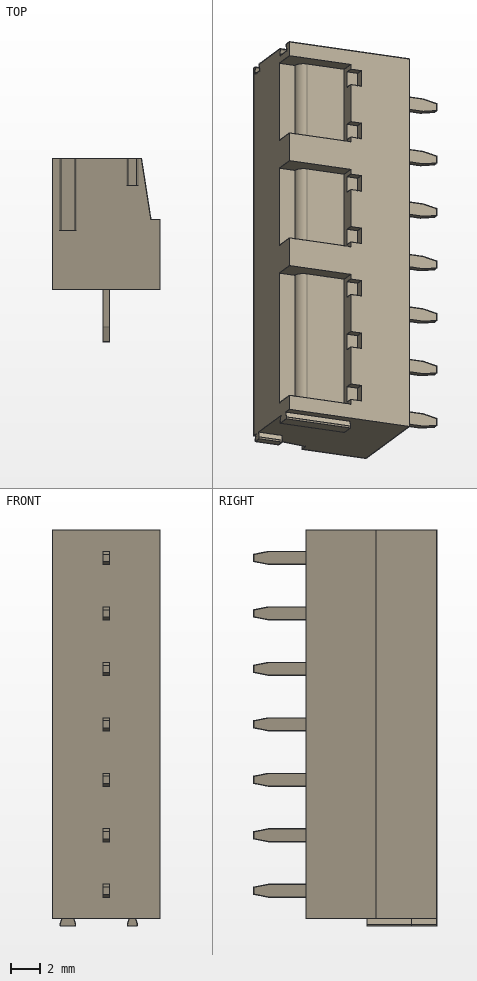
import cadquery as cq


width = 7.4
depth = 9.0
total_height = 27.22
key_height = 0.52
body_height = total_height - key_height
step_depth = 4.2
slope_start_x = 6.78
slope_end_x = 6.12

pin_count = 7
pitch = 3.8
pin_length = 3.6
pin_width = 0.45
pin_height = 0.9
tip_length = 1.03
tip_height = 0.5
pin_x = width / 2
first_pin_z = (body_height - (pin_count - 1) * pitch) / 2
pin_heights = [first_pin_z + i * pitch for i in range(pin_count)]

pins_per_recess = [3, 2, 2]
recess_overhang = 0.9
recess_length = 4.6
recess_entry_depth = 1.75
recess_floor_depth = 1.12
recess_entry_length = 1.17
step_radius = recess_entry_depth - recess_floor_depth

window_height = 1.12
window_depth = 0.63
window_end = 5.4

key_flare = 0.122
flare_share = 0.75
key_foot = 0.033
slot_clearance = 0.03
slot_lip = 0.08
wide_key = {"x": 1.05, "neck": 0.85, "key_length": 4.82, "slot_length": 4.95}
narrow_key = {"x": 5.5, "neck": 0.45, "key_length": 1.75, "slot_length": 1.88}


def make_body():
    outline = [
        (0, 0),
        (width, 0),
        (width, depth - step_depth),
        (slope_start_x, depth - step_depth),
        (slope_end_x, depth),
        (0, depth),
    ]
    return cq.Workplane("XY").polyline(outline).close().extrude(body_height)


def make_pin(z):
    half = pin_height / 2
    half_tip = tip_height / 2
    taper_y = tip_length - pin_length
    outline = [
        (0, -half),
        (taper_y, -half),
        (-pin_length, -half_tip),
        (-pin_length, half_tip),
        (taper_y, half),
        (0, half),
    ]
    plane = cq.Workplane("YZ", origin=(pin_x, 0, z))
    return plane.polyline(outline).close().extrude(pin_width / 2, both=True)


def make_recess(bottom, top):
    entry_y = depth - recess_entry_length
    return (
        cq.Workplane("XY", origin=(0, 0, bottom))
        .moveTo(0, depth)
        .lineTo(recess_entry_depth, depth)
        .lineTo(recess_entry_depth, entry_y)
        .radiusArc((recess_floor_depth, entry_y - step_radius), -step_radius)
        .lineTo(recess_floor_depth, depth - recess_length)
        .lineTo(0, depth - recess_length)
        .close()
        .extrude(top - bottom)
    )


def make_window(z):
    window_length = window_end - recess_length
    window = cq.Workplane("XY").box(window_depth, window_length, window_height, centered=(False, False, True))
    return window.translate((0, depth - window_end, z))


def make_dovetail(x, z, neck, length):
    half_neck = neck / 2
    half_wide = half_neck + key_flare
    half_foot = half_wide - key_foot
    wide_z = -flare_share * key_height
    outline = [
        (-half_neck, 0),
        (-half_wide, wide_z),
        (-half_foot, -key_height),
        (half_foot, -key_height),
        (half_wide, wide_z),
        (half_neck, 0),
    ]
    return cq.Workplane("XZ", origin=(x, depth, z)).polyline(outline).close().extrude(length)


def add_recesses(body):
    first_pin = 0
    for group_size in pins_per_recess:
        last_pin = first_pin + group_size - 1
        bottom = pin_heights[first_pin] - recess_overhang
        top = pin_heights[last_pin] + recess_overhang
        body = body.cut(make_recess(bottom, top))
        first_pin += group_size
    return body


def add_slot(body, key):
    """Cut a dovetail slot into the top and round its two long upper edges."""
    neck = key["neck"] + 2 * slot_clearance
    length = key["slot_length"]
    body = body.cut(make_dovetail(key["x"], body_height, neck, length))
    middle_y = depth - length / 2
    for side in (-1, 1):
        edge_middle = (key["x"] + side * neck / 2, middle_y, body_height)
        upper_edge = cq.selectors.NearestToPointSelector(edge_middle)
        body = body.edges("|Y").edges(upper_edge).fillet(slot_lip)
    return body


result = add_recesses(make_body())

for z in pin_heights:
    result = result.cut(make_window(z))
    result = result.union(make_pin(z))

for key in (wide_key, narrow_key):
    result = add_slot(result, key)
    result = result.union(make_dovetail(key["x"], 0, key["neck"], key["key_length"]))